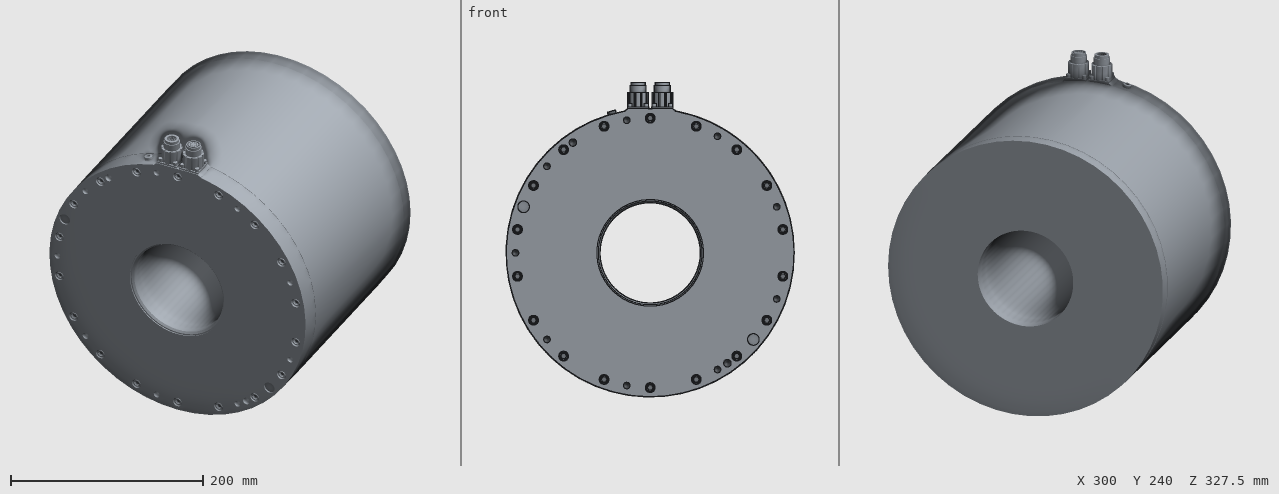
import cadquery as cq
import math

OUTER_D = 300.0
LENGTH = 240.0
TOTAL_HEIGHT = 327.5
FRONT_PLATE_LENGTH = 23.0
REAR_PLATE_LENGTH = 16.0
PLATE_INSET = 0.3
OUTER_R = OUTER_D / 2

BORE_D = 104.0
PLATE_OPENING_D = 111.0
SHAFT_RECESS = 1.0
SHAFT_CHAMFER = 2.0

PITCH_R = 140.2
SCREW_COUNT = 18
SCREW_POCKET_D = 10.0
SCREW_POCKET_DEPTH = 6.5
SCREW_HEAD_D = 8.0
SCREW_HEAD_RECESS = 0.5
SCREW_SOCKET_WIDTH = 5.2
SCREW_SOCKET_DEPTH = 3.3
TAPPED_COUNT = 9
TAPPED_FIRST_ANGLE = 20.0
TAPPED_D = 7.0
TAPPED_DEPTH = 15.0
DOWEL_ANGLES = (125.0, -55.0)
DOWEL_D = 8.0
DOWEL_DEPTH = 15.0
DRILL_TIP_ANGLE = 118.0
PLUG_ANGLES = (160.0, -40.0)
PLUG_D = 12.0
PLUG_RECESS = 1.5

PAD_TOP_WIDTH = 47.0
PAD_BASE_WIDTH = 54.5
PAD_TOP_Z = OUTER_R
PAD_SHOULDER_Z = 147.5

CONNECTOR_SPACING = 25.2
BASE_WIDTH = 22.3
CONNECTOR_Y = FRONT_PLATE_LENGTH - BASE_WIDTH / 2
BASE_HEIGHT = 2.0
CORNER_SCREW_D = 4.5
CORNER_SCREW_HEIGHT = 3.5
CORNER_SCREW_OFFSET = 8.5
NUT_D = 22.0
NUT_TOP = 17.0
FLUTE_COUNT = 10
FLUTE_WIDTH = 1.5
FLUTE_DEPTH = 1.3
COLLAR_D = 17.0
COLLAR_TOP = 24.2
TIP_D = 15.0
TIP_TOP = TOTAL_HEIGHT - OUTER_R - PAD_TOP_Z
SOCKET_DEPTH = 4.0
PIN_SOCKET_D = 10.0
PIN_D = 1.0
PIN_RECESS = 1.0
CONTACT_RING_D = 6.5
CONTACT_COUNT = 8
INSERT_SOCKET_D = 13.0
INSERT_D = 10.0
CONTACT_D = 1.5
CONTACT_DEPTH = 3.3

VALVE_ANGLE = 105.3
VALVE_HEAD_D = 9.0
VALVE_HEAD_HEIGHT = 3.0
VALVE_FILLET = 0.5
VALVE_SOCKET_D = 4.5
VALVE_SOCKET_DEPTH = 2.0


def cylinder_y(diameter, start, length):
    """Cylinder about the drum axis, from Y = start towards +Y."""
    return cq.Workplane("XZ", origin=(0, start, 0)).circle(diameter / 2).extrude(-length)


def cylinder_z(diameter, bottom, top):
    """Upright cylinder about Z between two heights."""
    return cq.Workplane("XY", origin=(0, 0, bottom)).circle(diameter / 2).extrude(top - bottom)


def spaced_angles(count, first):
    return [first + i * 360.0 / count for i in range(count)]


def on_pitch_circle(body, angle):
    """Move a body built about the drum axis onto the pitch circle."""
    theta = math.radians(angle)
    return body.translate((PITCH_R * math.cos(theta), 0, PITCH_R * math.sin(theta)))


def cut_on_pitch_circle(body, tool, angles):
    for angle in angles:
        body = body.cut(on_pitch_circle(tool, angle))
    return body


def drilled_hole(diameter, depth):
    """Blind hole from the front face with a conical drill tip."""
    radius = diameter / 2
    tip = radius / math.tan(math.radians(DRILL_TIP_ANGLE / 2))
    profile = [(0, 0), (radius, 0), (radius, depth), (0, depth + tip)]
    return cq.Workplane("XY").polyline(profile).close().revolve(360, (0, 0, 0), (0, 1, 0))


def screw_pocket():
    """Counterbore left around a sunk cap screw, with the hexagon socket in its head."""
    head = cylinder_y(SCREW_HEAD_D, SCREW_HEAD_RECESS, SCREW_POCKET_DEPTH)
    socket = (
        cq.Workplane("XZ", origin=(0, SCREW_HEAD_RECESS, 0))
        .polygon(6, SCREW_SOCKET_WIDTH / math.cos(math.pi / 6))
        .extrude(-SCREW_SOCKET_DEPTH)
    )
    return cylinder_y(SCREW_POCKET_D, 0, SCREW_POCKET_DEPTH).cut(head).union(socket)


def drum():
    housing_length = LENGTH - FRONT_PLATE_LENGTH - REAR_PLATE_LENGTH
    plate_d = OUTER_D - 2 * PLATE_INSET
    body = cylinder_y(plate_d, 0, FRONT_PLATE_LENGTH)
    body = body.union(cylinder_y(OUTER_D, FRONT_PLATE_LENGTH, housing_length))
    return body.union(cylinder_y(plate_d, LENGTH - REAR_PLATE_LENGTH, REAR_PLATE_LENGTH))


def pad():
    """Flat seat with sloped flanks, as deep as the front plate."""
    profile = [
        (-PAD_BASE_WIDTH / 2, 0),
        (-PAD_BASE_WIDTH / 2, PAD_SHOULDER_Z),
        (-PAD_TOP_WIDTH / 2, PAD_TOP_Z),
        (PAD_TOP_WIDTH / 2, PAD_TOP_Z),
        (PAD_BASE_WIDTH / 2, PAD_SHOULDER_Z),
        (PAD_BASE_WIDTH / 2, 0),
    ]
    return cq.Workplane("XZ").polyline(profile).close().extrude(-FRONT_PLATE_LENGTH)


def bore():
    opening = cylinder_y(PLATE_OPENING_D, 0, SHAFT_RECESS)
    chamfer = cq.Workplane(
        cq.Solid.makeCone(
            BORE_D / 2 + SHAFT_CHAMFER,
            BORE_D / 2,
            SHAFT_CHAMFER,
            cq.Vector(0, SHAFT_RECESS, 0),
            cq.Vector(0, 1, 0),
        )
    )
    return cylinder_y(BORE_D, 0, LENGTH).union(opening).union(chamfer)


def connector_shell():
    """Fluted coupling nut on a square base with corner screws; the seat is at Z = 0."""
    nut = cylinder_z(NUT_D, 0, NUT_TOP)
    flute_length = NUT_TOP - BASE_HEIGHT
    for angle in spaced_angles(FLUTE_COUNT, 180.0 / FLUTE_COUNT):
        flute = (
            cq.Workplane("XY")
            .box(2 * FLUTE_DEPTH, FLUTE_WIDTH, flute_length, centered=(True, True, False))
            .translate((NUT_D / 2, 0, BASE_HEIGHT))
            .rotate((0, 0, 0), (0, 0, 1), angle - 90)
        )
        nut = nut.cut(flute)
    base = cq.Workplane("XY").box(BASE_WIDTH, BASE_WIDTH, BASE_HEIGHT, centered=(True, True, False))
    corner_screws = (
        cq.Workplane("XY")
        .rect(2 * CORNER_SCREW_OFFSET, 2 * CORNER_SCREW_OFFSET, forConstruction=True)
        .vertices()
        .circle(CORNER_SCREW_D / 2)
        .extrude(BASE_HEIGHT + CORNER_SCREW_HEIGHT)
    )
    shell = nut.union(base).union(corner_screws)
    shell = shell.union(cylinder_z(COLLAR_D, 0, COLLAR_TOP))
    return shell.union(cylinder_z(TIP_D, 0, TIP_TOP))


def contact_ring(diameter, bottom, top):
    ring = cq.Workplane("XY", origin=(0, 0, bottom))
    ring = ring.polarArray(CONTACT_RING_D / 2, 0, 360, CONTACT_COUNT)
    return ring.circle(diameter / 2).extrude(top - bottom)


def pin_connector():
    """Connector with an open socket holding a ring of pins."""
    socket_floor = TIP_TOP - SOCKET_DEPTH
    shell = connector_shell().cut(cylinder_z(PIN_SOCKET_D, socket_floor, TIP_TOP))
    return shell.union(contact_ring(PIN_D, socket_floor, TIP_TOP - PIN_RECESS))


def insert_connector():
    """Connector with a central insert pierced by a ring of contact holes."""
    socket_floor = TIP_TOP - SOCKET_DEPTH
    shell = connector_shell().cut(cylinder_z(INSERT_SOCKET_D, socket_floor, TIP_TOP))
    shell = shell.union(cylinder_z(INSERT_D, socket_floor, TIP_TOP))
    return shell.cut(contact_ring(CONTACT_D, TIP_TOP - CONTACT_DEPTH, TIP_TOP))


def valve_screw():
    """Round head standing on the rim, turned from the top to its angle."""
    head = cylinder_z(VALVE_HEAD_D, OUTER_R - VALVE_HEAD_HEIGHT, OUTER_R + VALVE_HEAD_HEIGHT)
    head = head.faces(">Z").edges().fillet(VALVE_FILLET)
    head = head.faces(">Z").workplane().hole(VALVE_SOCKET_D, VALVE_SOCKET_DEPTH)
    return head.translate((0, CONNECTOR_Y, 0)).rotate((0, 0, 0), (0, 1, 0), 90 - VALVE_ANGLE)


result = drum().union(pad()).cut(bore())
result = cut_on_pitch_circle(result, screw_pocket(), spaced_angles(SCREW_COUNT, 90.0))
tapped_hole = drilled_hole(TAPPED_D, TAPPED_DEPTH)
result = cut_on_pitch_circle(result, tapped_hole, spaced_angles(TAPPED_COUNT, TAPPED_FIRST_ANGLE))
result = cut_on_pitch_circle(result, drilled_hole(DOWEL_D, DOWEL_DEPTH), DOWEL_ANGLES)
result = cut_on_pitch_circle(result, cylinder_y(PLUG_D, 0, PLUG_RECESS), PLUG_ANGLES)
result = result.union(valve_screw())
result = result.union(pin_connector().translate((-CONNECTOR_SPACING / 2, CONNECTOR_Y, PAD_TOP_Z)))
result = result.union(insert_connector().translate((CONNECTOR_SPACING / 2, CONNECTOR_Y, PAD_TOP_Z)))